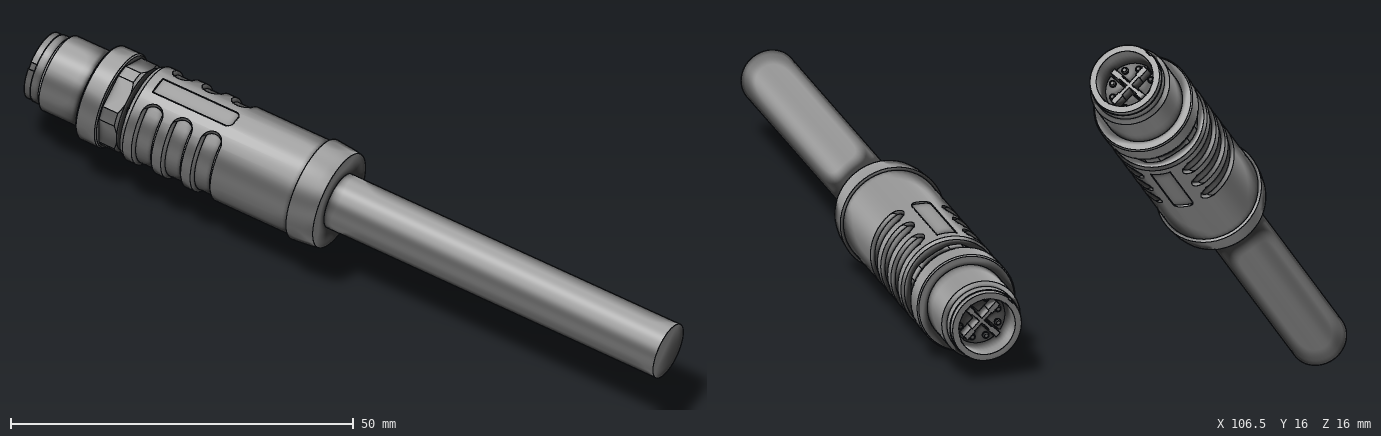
import cadquery as cq
import math

RIM_END = 1.1
NOSE_END = 2.5
PLUG_START = 3.0
RING_START = 10.0
RING_END = 13.5
HEX_END = 16.5
GRIP_START = 17.5
COLLAR_START = 46.2
COLLAR_END = 50.5
LENGTH = 106.5

NOSE_DIAMETER = 10.8
PLUG_DIAMETER = 12.0
GRIP_DIAMETER = 15.0
RING_DIAMETER = GRIP_DIAMETER
HEX_ROUND_DIAMETER = 14.0
NECK_DIAMETER = 9.4
COLLAR_DIAMETER = 16.0
COLLAR_BULGE = 0.13
CABLE_DIAMETER = 8.6
BORE_DIAMETER = 8.6

RING_CHAMFER = 0.2
HEX_CHAMFER = 0.4
GRIP_CHAMFER = 0.3
GRIP_CHAMFER_LENGTH = 0.6
RIM_STEP = 0.1

HEX_ACROSS_FLATS = 13.0

KEY_ANGLE = 45.0
NOTCH_WIDTH = 1.1
NOTCH_DEPTH = 0.3
RIB_WIDTH = 0.6
RIB_HEIGHT = 0.3

SLOT_COUNT = 3
SLOT_FIRST_CENTRE = 21.3
SLOT_PITCH = 5.0
SLOT_WIDTH = 3.4
SLOT_DEPTH = 0.5
SLOT_TIP_Y = 3.0
SLOT_DRAFT = 0.4

POCKET_START = 19.6
POCKET_LENGTH = 13.3
POCKET_WIDTH = 3.0
POCKET_DEPTH = 0.3
POCKET_CORNER = 0.9

BORE_DEPTH = 8.5
DIAGONAL_ANGLE = 45.0
SHIELD_START = 2.6
SHIELD_THICKNESS = 0.5
SHIELD_REACH = 3.5
SHIELD_TIP_START = 1.8
SHIELD_TIP_THICKNESS = 0.9
INSULATOR_START = 4.3
INSULATOR_DIAMETER = 8.1
INSULATOR_GAP = 1.2
INSULATOR_CORNER = 0.2
PIN_START = 3.7
PIN_DIAMETER = 1.0
PIN_TIP_DIAMETER = 0.6
PIN_CIRCLE_RADIUS = 3.1
PIN_HALF_ANGLE = 20.0


def cylinder(start, end, diameter):
    """Round bar along the X axis."""
    return cq.Workplane("YZ", origin=(start, 0, 0)).circle(diameter / 2).extrude(end - start)


def turn_about_x(shape, angle):
    """Copy of the shape turned about the part's axis."""
    return shape.rotate((0, 0, 0), (1, 0, 0), angle)


def make_plug():
    """Stepped nose with a shallow key notch in its rim."""
    nose_radius = NOSE_DIAMETER / 2
    plug_radius = PLUG_DIAMETER / 2
    profile = [
        (0, 0),
        (0, nose_radius - RIM_STEP),
        (RIM_END, nose_radius - RIM_STEP),
        (RIM_END, nose_radius),
        (NOSE_END, nose_radius),
        (PLUG_START, plug_radius),
        (RING_START, plug_radius),
        (RING_START, 0),
    ]
    plug = cq.Workplane("XY").polyline(profile).close().revolve(360, (0, 0, 0), (1, 0, 0))
    notch_floor = nose_radius - NOTCH_DEPTH
    notch = cq.Workplane("XY").box(RIM_END, NOTCH_WIDTH, 2 * NOTCH_DEPTH, centered=(False, True, False))
    return plug.cut(turn_about_x(notch.translate((0, 0, notch_floor)), KEY_ANGLE))


def make_nut():
    """Locking ring backed by a hexagon with rounded corners, one corner pointing up."""
    ring = cylinder(RING_START, RING_END, RING_DIAMETER).edges().chamfer(RING_CHAMFER)
    corner_diameter = HEX_ACROSS_FLATS / math.cos(math.pi / 6)
    hexagon = (
        cq.Workplane("YZ", origin=(RING_END, 0, 0))
        .transformed(rotate=(0, 0, 90))
        .polygon(6, corner_diameter)
        .extrude(HEX_END - RING_END)
    )
    rounding = cylinder(RING_END, HEX_END, HEX_ROUND_DIAMETER).faces(">X").chamfer(HEX_CHAMFER)
    return ring.union(hexagon.intersect(rounding))


def make_neck():
    """Short neck between nut and grip, with a raised key rib along it."""
    neck = cylinder(RING_END, GRIP_START, NECK_DIAMETER)
    rib_length = GRIP_START - RING_END
    rib_top = NECK_DIAMETER / 2 + RIB_HEIGHT
    rib = cq.Workplane("XY").box(rib_length, RIB_WIDTH, rib_top, centered=(False, True, False))
    return neck.union(turn_about_x(rib.translate((RING_END, 0, 0)), KEY_ANGLE))


def make_grip():
    """Plain grip barrel with a bevelled front edge."""
    radius = GRIP_DIAMETER / 2
    profile = [
        (GRIP_START, 0),
        (GRIP_START, radius - GRIP_CHAMFER),
        (GRIP_START + GRIP_CHAMFER_LENGTH, radius),
        (COLLAR_START, radius),
        (COLLAR_START, 0),
    ]
    return cq.Workplane("XY").polyline(profile).close().revolve(360, (0, 0, 0), (1, 0, 0))


def make_slot_ring(centre):
    """Ring with sloping walls that is widest at the grip surface."""
    floor_radius = GRIP_DIAMETER / 2 - SLOT_DEPTH
    mouth_radius = GRIP_DIAMETER / 2
    mouth_half = SLOT_WIDTH / 2
    floor_half = mouth_half - SLOT_DRAFT
    profile = [
        (centre - floor_half, floor_radius),
        (centre - mouth_half, mouth_radius),
        (centre - mouth_half, mouth_radius + SLOT_DEPTH),
        (centre + mouth_half, mouth_radius + SLOT_DEPTH),
        (centre + mouth_half, mouth_radius),
        (centre + floor_half, floor_radius),
    ]
    return cq.Workplane("XY").polyline(profile).close().revolve(360, (0, 0, 0), (1, 0, 0))


def make_slots():
    """Round-tipped slots on both sides, with a floor concentric to the grip."""
    slots = cq.Workplane("XY")
    length = GRIP_DIAMETER
    for index in range(SLOT_COUNT):
        x = SLOT_FIRST_CENTRE + index * SLOT_PITCH
        ring = make_slot_ring(x)
        for side in (-1, 1):
            outline = (
                cq.Workplane("XY", origin=(x, side * (SLOT_TIP_Y + length / 2), 0))
                .slot2D(length, SLOT_WIDTH, 90)
                .extrude(GRIP_DIAMETER, both=True)
            )
            slots = slots.add(ring.intersect(outline))
    return slots.combine()


def make_pocket(turn):
    """Flat-floored pocket, rounded at its rear corners and turned about the axis."""
    pocket = (
        cq.Workplane("XY", origin=(POCKET_START, 0, GRIP_DIAMETER / 2 - POCKET_DEPTH))
        .rect(POCKET_LENGTH, POCKET_WIDTH)
        .extrude(2 * POCKET_DEPTH)
        .edges(">X and |Z")
        .fillet(POCKET_CORNER)
        .translate((POCKET_LENGTH / 2, 0, 0))
    )
    return turn_about_x(pocket, turn)


def make_collar():
    """Collar whose outer surface bulges slightly and falls away to the rear."""
    front_radius = COLLAR_DIAMETER / 2
    rear_radius = GRIP_DIAMETER / 2
    middle = (COLLAR_START + COLLAR_END) / 2
    middle_radius = (front_radius + rear_radius) / 2 + COLLAR_BULGE
    return (
        cq.Workplane("XY")
        .moveTo(COLLAR_START, 0)
        .lineTo(COLLAR_START, front_radius)
        .threePointArc((middle, middle_radius), (COLLAR_END, rear_radius))
        .lineTo(COLLAR_END, 0)
        .close()
        .revolve(360, (0, 0, 0), (1, 0, 0))
    )


def make_shield():
    """Cross on the diagonals that separates the pin pairs, with arms thickened towards their ends."""
    length = BORE_DEPTH - SHIELD_START
    tip_length = SHIELD_REACH - SHIELD_TIP_START
    web = cq.Workplane("XY").box(length, SHIELD_REACH, SHIELD_THICKNESS, centered=(False, False, True))
    tip = cq.Workplane("XY").box(length, tip_length, SHIELD_TIP_THICKNESS, centered=(False, False, True))
    arm = web.union(tip.translate((0, SHIELD_TIP_START, 0))).translate((SHIELD_START, 0, 0))
    shield = cq.Workplane("XY")
    for quarter in range(4):
        shield = shield.add(turn_about_x(arm, DIAGONAL_ANGLE + 90 * quarter))
    return shield.combine()


def make_insulator():
    """Four quadrant blocks that carry the pins, parted by a diagonal gap around the shield."""
    length = BORE_DEPTH - INSULATOR_START
    insulator = cylinder(INSULATOR_START, BORE_DEPTH, INSULATOR_DIAMETER)
    gap = cq.Workplane("XY").box(length, BORE_DIAMETER, INSULATOR_GAP, centered=(False, True, True))
    gap = gap.translate((INSULATOR_START, 0, 0))
    for angle in (DIAGONAL_ANGLE, -DIAGONAL_ANGLE):
        insulator = insulator.cut(turn_about_x(gap, angle))
    return insulator.edges("|X").fillet(INSULATOR_CORNER)


def make_pins():
    """Eight bevelled pins, a pair in each quadrant."""
    pins = cq.Workplane("XY")
    bevel = (PIN_DIAMETER - PIN_TIP_DIAMETER) / 2
    pin = cylinder(PIN_START, BORE_DEPTH, PIN_DIAMETER).faces("<X").chamfer(bevel)
    pin = pin.translate((0, PIN_CIRCLE_RADIUS, 0))
    for quarter in range(4):
        for offset in (-PIN_HALF_ANGLE, PIN_HALF_ANGLE):
            pins = pins.add(turn_about_x(pin, 90 * quarter + offset))
    return pins.combine()


grip = make_grip().cut(make_slots()).cut(make_pocket(0)).cut(make_pocket(180))
cable = cylinder(COLLAR_END, LENGTH, CABLE_DIAMETER)
body = make_plug().union(make_nut()).union(make_neck()).union(grip).union(make_collar()).union(cable)
result = body.cut(cylinder(0, BORE_DEPTH, BORE_DIAMETER))
result = result.union(make_insulator()).union(make_shield()).union(make_pins())